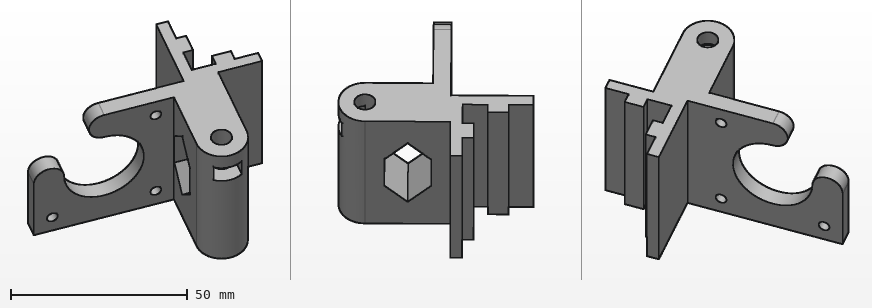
import cadquery as cq
import math

height = 42.0
mid_height = 21.0

flange_left = -23.45
flange_back = 23.5
front_flange_thickness = 3.6
back_flange_thickness = 3.4
front_rib_left = -16.4
front_rib_width = 5.9
front_rib_depth = 2.95
back_rib_front = 10.8
back_rib_width = 5.7
back_rib_depth = 3.2

arm_radius = 7.5
arm_center_x = 24.2
arm_center_y = 2.8
pin_diameter = 6.0

window_center_x = 12.1
window_half_width = 6.6
window_half_side = 5.4

pocket_bottom = 31.95
pocket_height = 5.3
pocket_front_reach = 4.5
pocket_back_reach = 3.8

plate_thickness = 5.05
plate_front = -46.7
motor_y = -25.6
opening_radius = 11.9
screw_offset = 15.5
screw_diameter = 3.2


def block(x_min, x_max, y_min, y_max, z_min=0, z_max=height):
    """Box between two opposite corners."""
    size = (x_max - x_min, y_max - y_min, z_max - z_min)
    return cq.Workplane("XY").box(*size, centered=False).translate((x_min, y_min, z_min))


def make_flanges():
    front = block(flange_left, 0, 0, front_flange_thickness)
    back = block(-back_flange_thickness, 0, 0, flange_back)
    front_rib = block(
        front_rib_left,
        front_rib_left + front_rib_width,
        0,
        front_flange_thickness + front_rib_depth,
    )
    back_rib = block(
        -back_flange_thickness - back_rib_depth,
        0,
        back_rib_front,
        back_rib_front + back_rib_width,
    )
    return front.union(back).union(front_rib).union(back_rib)


def make_arm():
    arm_front = arm_center_y - arm_radius
    arm_back = arm_center_y + arm_radius
    straight = block(0, arm_center_x, arm_front, arm_back)
    axis = cq.Workplane("XY").center(arm_center_x, arm_center_y)
    arm = straight.union(axis.circle(arm_radius).extrude(height))
    return arm.cut(axis.circle(pin_diameter / 2).extrude(height))


def make_window():
    left = window_center_x - window_half_width
    right = window_center_x + window_half_width
    shoulder_top = mid_height + window_half_side
    shoulder_bottom = mid_height - window_half_side
    outline = [
        (left, shoulder_bottom),
        (window_center_x, shoulder_bottom - window_half_width),
        (right, shoulder_bottom),
        (right, shoulder_top),
        (window_center_x, shoulder_top + window_half_width),
        (left, shoulder_top),
    ]
    profile = cq.Workplane("XZ", origin=(0, arm_center_y, 0)).polyline(outline).close()
    return profile.extrude(arm_radius, both=True)


def make_pocket():
    return block(
        arm_center_x,
        arm_center_x + arm_radius,
        arm_center_y - pocket_front_reach,
        arm_center_y + pocket_back_reach,
        pocket_bottom,
        pocket_bottom + pocket_height,
    )


def make_motor_plate():
    opening_top = mid_height + opening_radius
    opening_front = motor_y - opening_radius
    upper_tip_radius = (height - opening_top) / 2
    lower_tip_radius = (opening_front - plate_front) / 2
    diagonal = opening_radius * math.sqrt(0.5)
    plate = (
        cq.Workplane("YZ")
        .moveTo(0, 0)
        .lineTo(plate_front, 0)
        .lineTo(plate_front, mid_height)
        .threePointArc(
            (plate_front + lower_tip_radius, mid_height + lower_tip_radius),
            (opening_front, mid_height),
        )
        .threePointArc(
            (motor_y + diagonal, mid_height - diagonal),
            (motor_y, opening_top),
        )
        .threePointArc(
            (motor_y - upper_tip_radius, opening_top + upper_tip_radius),
            (motor_y, height),
        )
        .lineTo(0, height)
        .close()
        .extrude(plate_thickness)
    )
    screw_places = [
        (motor_y + side_y * screw_offset, mid_height + side_z * screw_offset)
        for side_y, side_z in [(1, 1), (1, -1), (-1, -1)]
    ]
    screws = (
        cq.Workplane("YZ")
        .pushPoints(screw_places)
        .circle(screw_diameter / 2)
        .extrude(plate_thickness)
    )
    return plate.cut(screws)


arm = make_arm().cut(make_window()).cut(make_pocket())
result = make_flanges().union(arm).union(make_motor_plate())